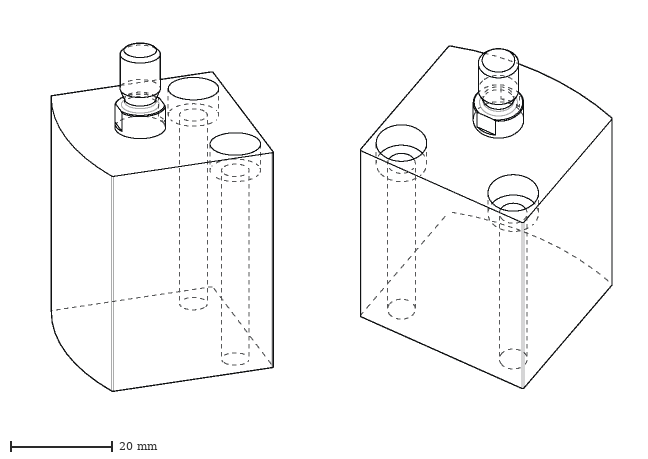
import cadquery as cq

total_height = 64.5

housing_width = 38.0
housing_depth = 36.9
housing_height = 47.5
back_y = 21.5
bow_rise = 3.2
edge_radius = 0.3
front_y = back_y - housing_depth
corner_y = front_y + bow_rise

hole_spacing = 26.0
hole_to_back = 6.0
hole_diameter = 5.5
counterbore_diameter = 10.0
counterbore_depth = 5.8

collar_diameter = 10.0
collar_height = 5.0
collar_chamfer = 0.2
flat_distance = 9.0
flat_base_height = 0.85
neck_diameter = 6.2
neck_height = 1.2
neck_fillet = 0.65
taper_height = 2.3
stud_diameter = 8.0
stud_chamfer_width = 0.8
stud_chamfer_height = 0.85


def make_housing():
    """Block with a bowed front face and two counterbored through holes."""
    half_width = housing_width / 2
    block = (
        cq.Workplane("XY")
        .moveTo(half_width, corner_y)
        .lineTo(half_width, back_y)
        .lineTo(-half_width, back_y)
        .lineTo(-half_width, corner_y)
        .threePointArc((0, front_y), (half_width, corner_y))
        .close()
        .extrude(housing_height)
        .edges("|Z")
        .fillet(edge_radius)
    )
    hole_y = back_y - hole_to_back
    hole_places = [(-hole_spacing / 2, hole_y), (hole_spacing / 2, hole_y)]
    return (
        block.faces(">Z")
        .workplane(origin=(0, 0, housing_height))
        .pushPoints(hole_places)
        .cboreHole(hole_diameter, counterbore_diameter, counterbore_depth)
    )


def make_rod():
    """Turned rod standing on the housing: collar with two flats, neck, taper and stud."""
    collar_radius = collar_diameter / 2
    neck_radius = neck_diameter / 2
    stud_radius = stud_diameter / 2
    collar_top = housing_height + collar_height
    neck_top = collar_top + neck_height
    taper_top = neck_top + taper_height
    turned = (
        cq.Workplane("XZ")
        .moveTo(0, housing_height)
        .lineTo(collar_radius, housing_height)
        .lineTo(collar_radius, collar_top - collar_chamfer)
        .lineTo(collar_radius - collar_chamfer, collar_top)
        .lineTo(neck_radius + neck_fillet, collar_top)
        .radiusArc((neck_radius, collar_top + neck_fillet), neck_fillet)
        .lineTo(neck_radius, neck_top)
        .lineTo(stud_radius, taper_top)
        .lineTo(stud_radius, total_height - stud_chamfer_height)
        .lineTo(stud_radius - stud_chamfer_width, total_height)
        .lineTo(0, total_height)
        .close()
        .revolve(360, (0, 0, 0), (0, 1, 0))
    )
    for side in (-1, 1):
        turned = turned.cut(make_flat_cutter(side))
    return turned


def make_flat_cutter(side):
    """Box that mills one wrench flat; side is -1 for the front and 1 for the back."""
    cutter_depth = collar_diameter / 2
    center_y = side * (flat_distance + cutter_depth) / 2
    return (
        cq.Workplane("XY", origin=(0, center_y, housing_height + flat_base_height))
        .box(collar_diameter, cutter_depth, collar_height - flat_base_height, centered=(True, True, False))
    )


housing = make_housing()
rod = make_rod()
result = cq.Compound.makeCompound([housing.val(), rod.val()])